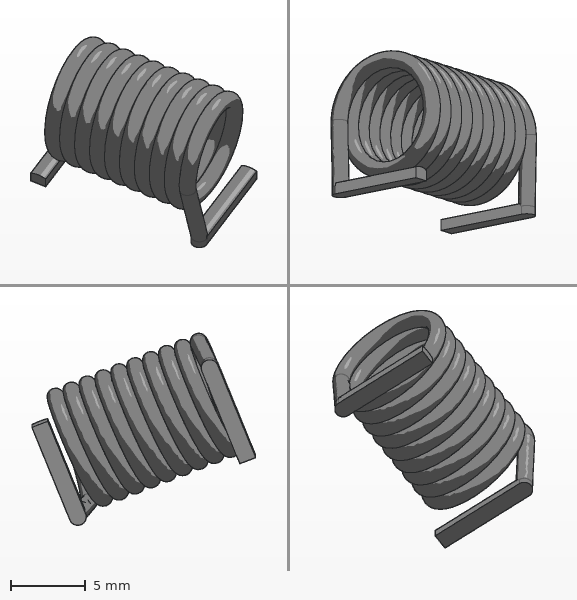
import cadquery as cq
import math

wire_diameter = 1.13
coil_outer_diameter = 8.63
pitch = 1.15
turns = 9.5
overall_length = 13.18
overall_height = 9.63

foot_width = 1.15
foot_side_height = 0.75
foot_crest_height = 0.87
foot_reach = 3.74
leg_base_height = 0.57

wire_radius = wire_diameter / 2
winding_radius = (coil_outer_diameter - wire_diameter) / 2
winding_length = pitch * turns
axis_height = overall_height - coil_outer_diameter / 2
foot_radius = foot_width / 2
foot_x = -overall_length / 2 + foot_radius
leg_base_y = foot_reach - foot_radius

coil_start = cq.Vector(-winding_length / 2, winding_radius, axis_height)
start_direction = cq.Vector(pitch, 0, 2 * math.pi * winding_radius)


def make_coil():
    """Sweep the wire along a Z helix, then turn Z into X, X into Y and Y into Z."""
    helix = cq.Wire.makeHelix(pitch, winding_length, winding_radius)
    helix_plane = cq.Plane(
        origin=(winding_radius, 0, 0),
        xDir=(1, 0, 0),
        normal=(0, start_direction.z, start_direction.x),
    )
    coil = cq.Workplane(helix_plane).circle(wire_radius).sweep(cq.Workplane(helix), isFrenet=True)
    return coil.rotate((0, 0, 0), (1, 1, 1), 120).translate((coil_start.x, 0, axis_height))


def make_leg():
    """Straight leg between the coil end and the rounded foot end."""
    leg_base = cq.Vector(foot_x, leg_base_y, leg_base_height)
    base_circle = cq.Wire.makeCircle(foot_radius, leg_base, cq.Vector(0, 0, 1))
    coil_circle = cq.Wire.makeCircle(wire_radius, coil_start, start_direction)
    return cq.Workplane(cq.Solid.makeLoft([base_circle, coil_circle], True))


def make_foot():
    """Crowned bar with a half-round pad under the leg."""
    bar = (
        cq.Workplane("XZ", origin=(foot_x, leg_base_y, 0))
        .moveTo(-foot_radius, 0)
        .lineTo(foot_radius, 0)
        .lineTo(foot_radius, foot_side_height)
        .threePointArc((0, foot_crest_height), (-foot_radius, foot_side_height))
        .close()
        .extrude(leg_base_y + foot_reach)
    )
    pad = cq.Workplane(origin=(foot_x, leg_base_y, 0)).circle(foot_radius).extrude(leg_base_height)
    return bar.union(pad)


terminal = make_foot().union(make_leg())
opposite_terminal = terminal.rotate((0, 0, 0), (0, 0, 1), 180)
result = make_coil().union(terminal).union(opposite_terminal)